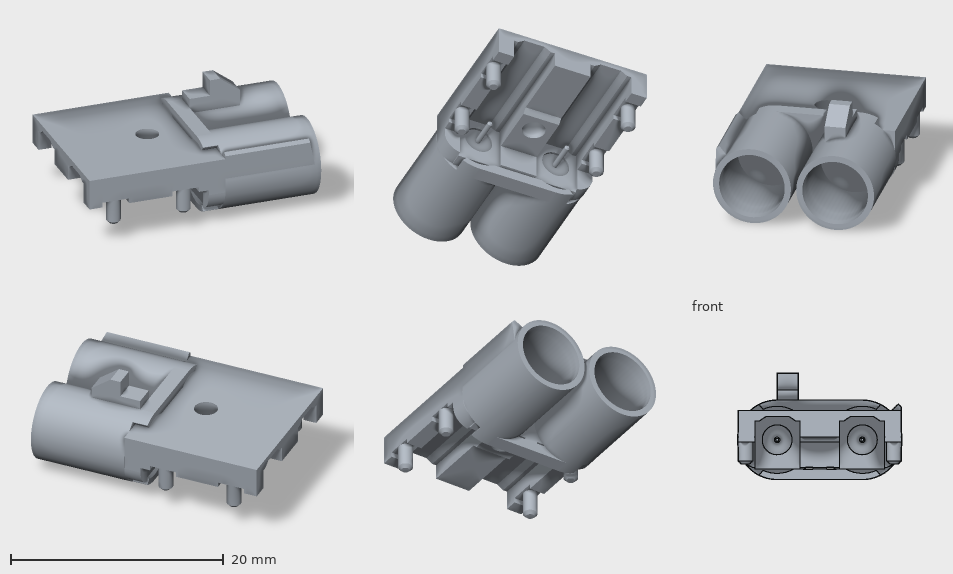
import cadquery as cq


total_length = 23.2
total_width = 15.5

barrel_diameter = 7.5
bore_diameter = 6.3
barrel_radius = barrel_diameter / 2
barrel_x = total_width / 2 - barrel_radius
barrel_start = 13.62
bulkhead_thickness = 1.5

plate_half_width = 7.68
plate_top = 2.75
plate_bottom = -0.2
screw_hole_diameter = 2.25
screw_hole_y = 8.63

rib_front_bottom = 0.25
ramp_start = 6.5
ramp_run = 0.46

groove_x = 3.97
groove_width = 4.25
groove_shoulder = 1.79
groove_top = 2.2
groove_top_width = 2.09
groove_taper_width = 3.39
body_front = 11.95
body_bottom = -2.67
body_middle_bottom = -2.6
body_corner_radius = 1.95
insert_bottom = -plate_top
insert_front = 12.3

flange_front = 12.1
flange_half_width = 5.7
flange_relief_x = 5.31
flange_relief_z = 2.88
flange_end_z = 3.3
web_width = 1.3
web_front = 12.75

contact_recess_diameter = 2.8
contact_recess_depth = 0.23
contact_diameter = 0.5
contact_chamfer = 0.12
contact_tip_y = 9.63

mount_pin_diameter = 1.4
mount_pin_x = plate_half_width - mount_pin_diameter / 2
mount_pin_ys = (2.65, 9.65)
mount_pin_bottom = -2.27
mount_pin_chamfer = 0.3
notch_length = 2.67
notch_top = 0.28
notch_inner_x = groove_x + groove_width / 2

latch_width = 2.0
latch_top = 6.26
latch_step_z = 4.66
latch_nose_z = 4.78
latch_step_y = 15.65
latch_slope_y = 16.68
latch_end_y = 18.65
latch_root_z = 2.78

key_apex_x = 7.38
key_apex_z = 3.36
key_length_at_apex = 8.5
key_end_tilt = 0.2

overlap = 0.23


def box(x_range, y_range, z_range):
    """Axis-aligned box from its limits."""
    limits = (x_range, y_range, z_range)
    sizes = [high - low for low, high in limits]
    return cq.Workplane("XY").box(*sizes, centered=False).translate([low for low, _ in limits])


def cylinder_y(x, diameter, y_start, y_end):
    """Cylinder along Y at axis height."""
    plane = cq.Workplane("XZ", origin=(x, y_start, 0))
    return plane.circle(diameter / 2).extrude(-(y_end - y_start))


def extrude_y(points, y_start, y_end):
    """Closed XZ outline extruded along Y."""
    return cq.Workplane("XZ", origin=(0, y_start, 0)).polyline(points).close().extrude(-(y_end - y_start))


def groove_prism(x, bottom, y_start, y_end):
    """Groove section: straight sides, shoulders and a raised tapered crown."""
    half_outline = [
        (groove_width / 2, bottom),
        (groove_width / 2, groove_shoulder),
        (groove_taper_width / 2, groove_shoulder),
        (groove_top_width / 2, groove_top),
    ]
    right = [(x + dx, z) for dx, z in half_outline]
    left = [(x - dx, z) for dx, z in reversed(half_outline)]
    return extrude_y(right + left, y_start, y_end)


def base_plate():
    plate = box((-plate_half_width, plate_half_width), (0, body_front), (plate_bottom, plate_top))
    for x in (-groove_x, groove_x):
        plate = plate.cut(groove_prism(x, plate_bottom - overlap, 0, body_front))
    ramp_drop = rib_front_bottom - plate_bottom
    rib_half_width = groove_x - groove_width / 2
    rib_relief = (
        cq.Workplane("YZ", origin=(-rib_half_width, 0, 0))
        .moveTo(0, plate_bottom)
        .lineTo(0, rib_front_bottom)
        .lineTo(ramp_start, rib_front_bottom)
        .line(ramp_run, -ramp_drop)
        .close()
        .extrude(2 * rib_half_width)
    )
    screw_hole = (
        cq.Workplane("XY", origin=(0, screw_hole_y, plate_bottom))
        .circle(screw_hole_diameter / 2)
        .extrude(plate_top - plate_bottom)
    )
    return plate.cut(rib_relief).cut(screw_hole)


def body():
    """Block behind the grooves, rounded along its lower sides, with a set-back insert in each groove."""
    block = box((-plate_half_width, plate_half_width), (body_front, barrel_start), (body_bottom, plate_top))
    block = block.edges("|Y and <Z").fillet(body_corner_radius)
    middle_half_width = groove_x - groove_width / 2
    middle_x = (-middle_half_width, middle_half_width)
    block = block.cut(box(middle_x, (body_front, barrel_start), (body_bottom, body_middle_bottom)))
    for x in (-groove_x, groove_x):
        block = block.cut(groove_prism(x, body_bottom, body_front, barrel_start))
        block = block.union(groove_prism(x, insert_bottom, insert_front, barrel_start))
    return block


def barrel_shell():
    """Two barrels whose front ends are joined by a flange, trimmed square and opened for the body."""
    flange_y = (flange_front, barrel_start)
    shell = box((-barrel_x, barrel_x), flange_y, (-barrel_radius, barrel_radius))
    for side in (-1, 1):
        shell = shell.union(cylinder_y(side * barrel_x, barrel_diameter, flange_front, total_length))
    shell = shell.cut(box((-flange_half_width, flange_half_width), flange_y, (-plate_top, plate_top)))
    for side in (-1, 1):
        axis_x = side * barrel_x
        outer_x_range = sorted((side * flange_half_width, side * total_width))
        shell = shell.cut(box(outer_x_range, flange_y, (-barrel_radius, barrel_radius)))
        shell = shell.cut(cylinder_y(axis_x, bore_diameter, *flange_y))
        for level in (-1, 1):
            end_relief = [
                (side * flange_relief_x, 0),
                (side * flange_relief_x, level * flange_relief_z),
                (side * flange_half_width, level * flange_end_z),
                (side * flange_half_width, 0),
            ]
            shell = shell.cut(extrude_y(end_relief, *flange_y))
    web_z = (-plate_top - overlap, body_middle_bottom)
    web = box((-web_width / 2, web_width / 2), (web_front, barrel_start), web_z)
    return shell.union(web)


def latch():
    """Hook with a lead-in slope towards the barrel end."""
    return (
        cq.Workplane("YZ", origin=(-barrel_x, 0, 0))
        .moveTo(barrel_start, latch_root_z)
        .lineTo(barrel_start, latch_step_z)
        .lineTo(latch_step_y, latch_step_z)
        .lineTo(latch_step_y, latch_top)
        .lineTo(latch_slope_y, latch_top)
        .lineTo(latch_end_y, latch_nose_z)
        .lineTo(latch_end_y, latch_root_z)
        .close()
        .extrude(latch_width)
    )


def key_ridge():
    """Ridge with 45-degree flanks, flush with the plate side and cut off at a slant."""
    outer_drop = plate_half_width - key_apex_x
    outline = [
        (key_apex_x, key_apex_z),
        (plate_half_width, key_apex_z - outer_drop),
        (plate_half_width, 0),
        (key_apex_x - key_apex_z, 0),
    ]
    ridge = extrude_y(outline, barrel_start, total_length)
    end_plane = cq.Plane(
        origin=(key_apex_x, barrel_start + key_length_at_apex, key_apex_z),
        normal=(key_end_tilt, 1, key_end_tilt),
    )
    waste = cq.Workplane(end_plane).rect(total_width, total_width).extrude(total_length)
    return ridge.cut(waste)


def barrel_bore(x):
    return cylinder_y(x, bore_diameter, barrel_start + bulkhead_thickness, total_length)


def contact_pin(x):
    recess_floor = insert_front + contact_recess_depth
    pin = cylinder_y(x, contact_diameter, contact_tip_y, recess_floor + overlap)
    return pin.faces("<Y").chamfer(contact_chamfer)


def mount_notch(side, y):
    x_range = sorted((side * notch_inner_x, side * plate_half_width))
    y_range = (y - notch_length / 2, y + notch_length / 2)
    return box(x_range, y_range, (plate_bottom, notch_top))


def mount_pin(side, y):
    pin = (
        cq.Workplane("XY", origin=(side * mount_pin_x, y, mount_pin_bottom))
        .circle(mount_pin_diameter / 2)
        .extrude(notch_top + overlap - mount_pin_bottom)
    )
    return pin.faces("<Z").chamfer(mount_pin_chamfer)


result = base_plate().union(body()).union(barrel_shell()).union(latch()).union(key_ridge())

for barrel_side in (-1, 1):
    axis_x = barrel_side * barrel_x
    recess = cylinder_y(axis_x, contact_recess_diameter, insert_front, insert_front + contact_recess_depth)
    result = result.cut(barrel_bore(axis_x)).cut(recess).union(contact_pin(axis_x))
    for pin_y in mount_pin_ys:
        result = result.cut(mount_notch(barrel_side, pin_y)).union(mount_pin(barrel_side, pin_y))